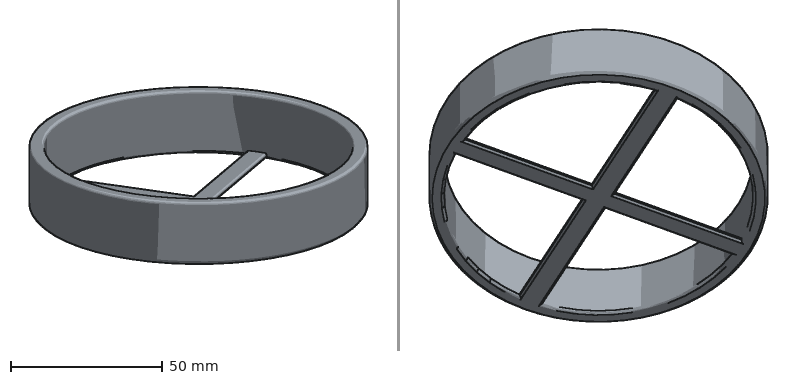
import cadquery as cq

outer_diameter = 112.0
inner_diameter = 102.0
height = 22.0
rim_fillet = 1.0
bottom_chamfer = 1.0

x_bar_width = 8.3
y_bar_width = 7.0
bar_thickness = 2.0
bar_fillet = 0.7
bar_chamfer = 0.8
bar_length = (outer_diameter + inner_diameter) / 2


def make_ring():
    """Ring with rounded rims; the outer bottom rim is a chamfer blended into the wall."""
    ring = cq.Workplane("XY").circle(outer_diameter / 2).extrude(height)
    ring = ring.faces("<Z").chamfer(bottom_chamfer)
    ring = ring.edges("%CIRCLE").edges("not <Z").fillet(rim_fillet)

    bore = cq.Workplane("XY").circle(inner_diameter / 2).extrude(height)
    ring = ring.cut(bore)
    inner_rim = cq.selectors.RadiusNthSelector(0)
    return ring.faces("<Z or >Z").edges(inner_rim).fillet(rim_fillet)


def make_cross():
    """Two crossing bars, rounded along the top and chamfered along the bottom."""
    centered = (True, True, False)
    x_bar = cq.Workplane("XY").box(bar_length, x_bar_width, bar_thickness, centered=centered)
    y_bar = cq.Workplane("XY").box(y_bar_width, bar_length, bar_thickness, centered=centered)
    x_bar = x_bar.edges("|X and >Z").fillet(bar_fillet)
    y_bar = y_bar.edges("|Y and >Z").fillet(bar_fillet)
    x_bar = x_bar.edges("|X and <Z").chamfer(bar_chamfer)
    y_bar = y_bar.edges("|Y and <Z").chamfer(bar_chamfer)
    return x_bar.union(y_bar)


result = make_ring().union(make_cross())